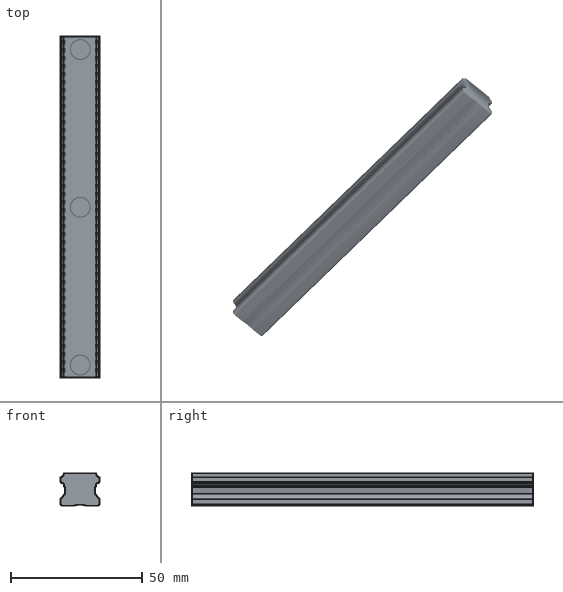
import cadquery as cq

length = 130.0
width = 15.0
height = 12.5

half_width = width / 2
ledge_width = 0.4
half_shoulder = half_width - ledge_width
half_lip = 6.5
half_top = 6.1
half_race = 6.1
half_waist = 5.7

head_top = 10.9
head_bottom = 9.2
lip_bottom = 8.7
race_bottom = 7.9
step_top = 7.5
waist_top = 7.0
waist_bottom = 4.7
foot_top = 2.6

base_chamfer = 0.6
foot_bevel = 0.3
race_radius = 2.3

groove_width = 5.0
groove_depth = 0.4

cap_diameter = 7.5
cap_depth = 5.3
cap_pitch = 60.0
cap_count = 3


def section_plane():
    """Cross-section plane at the +Y end; extruding from it runs toward -Y."""
    return cq.Workplane("XZ", origin=(0, length / 2, 0))


def make_half_rail():
    """Right half of the rail, with a ball race above and below the head."""
    return (
        section_plane()
        .lineTo(half_width - base_chamfer, 0)
        .lineTo(half_width, base_chamfer)
        .lineTo(half_width, foot_top)
        .lineTo(half_width - foot_bevel, foot_top + foot_bevel)
        .lineTo(half_waist, waist_bottom)
        .lineTo(half_waist, waist_top)
        .lineTo(half_race, step_top)
        .lineTo(half_race, race_bottom)
        .radiusArc((half_lip, lip_bottom), race_radius)
        .lineTo(half_shoulder, lip_bottom)
        .lineTo(half_width, head_bottom)
        .lineTo(half_width, head_top)
        .lineTo(half_shoulder, head_top)
        .radiusArc((half_top, height), race_radius)
        .lineTo(0, height)
        .close()
        .extrude(length)
    )


def make_base_groove():
    """Circular segment that hollows the underside along the whole rail."""
    return (
        section_plane()
        .moveTo(-groove_width / 2, 0)
        .threePointArc((0, groove_depth), (groove_width / 2, 0))
        .close()
        .extrude(length)
    )


def make_caps():
    """Row of round caps whose tops lie flush with the top of the rail."""
    return (
        cq.Workplane("XY", origin=(0, 0, height - cap_depth))
        .rarray(1.3, cap_pitch, 1, cap_count)
        .circle(cap_diameter / 2)
        .extrude(cap_depth)
    )


half_rail = make_half_rail()
rail = half_rail.union(half_rail.mirror("YZ")).clean()
rail = rail.cut(make_base_groove())

caps = make_caps()
result = rail.cut(caps).union(caps, clean=False)